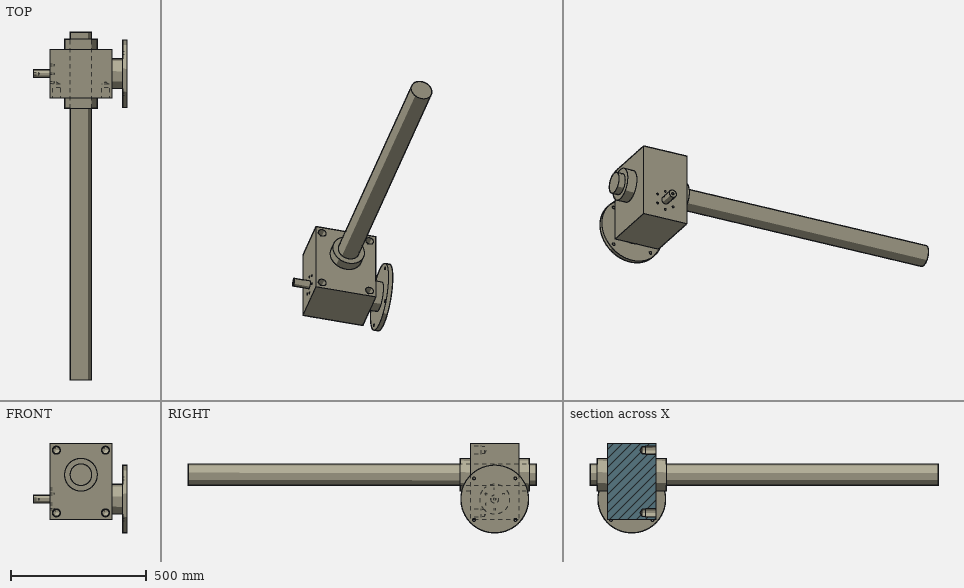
import cadquery as cq
import math


HOUSING_X = 229.0
HOUSING_Y = 179.0
HOUSING_Z = 280.0
HOUSING_TOP = 115.0
HOUSING_CENTER_Z = HOUSING_TOP - HOUSING_Z / 2

COLLAR_DIA = 120.0
COLLARS_SPAN = 255.0

MOUNT_HOLE_DIA = 25.0
MOUNT_HOLE_DEPTH = 51.0
MOUNT_MOUTH_DIA = 30.0
MOUNT_MOUTH_DEPTH = 38.0
MOUNT_HOLE_PITCH_X = 180.0
MOUNT_HOLE_PITCH_Z = 230.0
DRILL_TIP_ANGLE = 118

SCREW_DIA = 80.0
SCREW_LENGTH = 1281.0
SCREW_STUB = 25.0
SCREW_REAR_Y = COLLARS_SPAN / 2 + SCREW_STUB

WORM_AXIS_Z = -90.0
SHAFT_DIA = 30.0
SHAFT_LENGTH = 60.0
CENTER_HOLE_DIA = 8.3
CENTER_HOLE_DEPTH = 19.0

COVER_HOLE_COUNT = 6
COVER_HOLE_DIA = 6.7
COVER_HOLE_DEPTH = 15.0
COVER_CIRCLE_DIA = 74.0

FLANGE_DIA = 250.0
FLANGE_THICKNESS = 17.0
NECK_DIA = 110.0
NECK_LENGTH = 38.0
FLANGE_HOLE_COUNT = 4
FLANGE_HOLE_DIA = 10.1
FLANGE_CIRCLE_DIA = 215.0

ALONG_X = cq.Vector(1, 0, 0)
ALONG_Y = cq.Vector(0, 1, 0)


def cylinder(diameter, length, start, direction):
    """Solid cylinder from the start point along the direction."""
    return cq.Solid.makeCylinder(diameter / 2, length, cq.Vector(*start), direction)


def drilled_hole(diameter, depth, start, direction):
    """Cutting tool for a blind hole that ends in a conical drill tip."""
    tip_height = diameter / 2 / math.tan(math.radians(DRILL_TIP_ANGLE / 2))
    tip_start = cq.Vector(*start) + direction * depth
    tip = cq.Solid.makeCone(diameter / 2, 0, tip_height, tip_start, direction)
    return cylinder(diameter, depth, start, direction).fuse(tip)


def worm_circle_points(circle_dia, count, first_angle):
    """(y, z) points evenly spaced on a circle around the worm axis."""
    angles = [math.radians(first_angle + 360 * i / count) for i in range(count)]
    radius = circle_dia / 2
    return [(radius * math.cos(a), WORM_AXIS_Z + radius * math.sin(a)) for a in angles]


def make_housing():
    body = cq.Workplane("XY").box(HOUSING_X, HOUSING_Y, HOUSING_Z)
    body = body.translate((0, 0, HOUSING_CENTER_Z))

    collars_start = (0, -COLLARS_SPAN / 2, 0)
    body = body.union(cq.Workplane(cylinder(COLLAR_DIA, COLLARS_SPAN, collars_start, ALONG_Y)))
    body = body.cut(cq.Workplane(cylinder(SCREW_DIA, COLLARS_SPAN, collars_start, ALONG_Y)))

    for side_x in (-1, 1):
        for side_z in (-1, 1):
            x = side_x * MOUNT_HOLE_PITCH_X / 2
            z = HOUSING_CENTER_Z + side_z * MOUNT_HOLE_PITCH_Z / 2
            start = (x, -HOUSING_Y / 2, z)
            body = body.cut(cq.Workplane(drilled_hole(MOUNT_HOLE_DIA, MOUNT_HOLE_DEPTH, start, ALONG_Y)))
            body = body.cut(cq.Workplane(cylinder(MOUNT_MOUTH_DIA, MOUNT_MOUTH_DEPTH, start, ALONG_Y)))

    for y, z in worm_circle_points(COVER_CIRCLE_DIA, COVER_HOLE_COUNT, first_angle=90):
        start = (-HOUSING_X / 2, y, z)
        body = body.cut(cq.Workplane(drilled_hole(COVER_HOLE_DIA, COVER_HOLE_DEPTH, start, ALONG_X)))
    return body


def make_screw():
    start = (0, SCREW_REAR_Y - SCREW_LENGTH, 0)
    return cq.Workplane(cylinder(SCREW_DIA, SCREW_LENGTH, start, ALONG_Y))


def make_worm_shaft():
    """Shaft end that stands on the -X face of the housing, with a centre hole in its tip."""
    start = (-HOUSING_X / 2 - SHAFT_LENGTH, 0, WORM_AXIS_Z)
    shaft = cq.Workplane(cylinder(SHAFT_DIA, SHAFT_LENGTH, start, ALONG_X))
    return shaft.cut(cq.Workplane(drilled_hole(CENTER_HOLE_DIA, CENTER_HOLE_DEPTH, start, ALONG_X)))


def make_motor_flange():
    """Neck on the +X face of the housing that carries a round flange with through holes."""
    neck_x = HOUSING_X / 2
    disc_x = neck_x + NECK_LENGTH
    flange = cq.Workplane(cylinder(NECK_DIA, NECK_LENGTH, (neck_x, 0, WORM_AXIS_Z), ALONG_X))
    disc = cylinder(FLANGE_DIA, FLANGE_THICKNESS, (disc_x, 0, WORM_AXIS_Z), ALONG_X)
    flange = flange.union(cq.Workplane(disc))
    for y, z in worm_circle_points(FLANGE_CIRCLE_DIA, FLANGE_HOLE_COUNT, first_angle=45):
        hole = cylinder(FLANGE_HOLE_DIA, FLANGE_THICKNESS, (disc_x, y, z), ALONG_X)
        flange = flange.cut(cq.Workplane(hole))
    return flange


housing = make_housing()
screw = make_screw()
worm_shaft = make_worm_shaft()
motor_flange = make_motor_flange()

result = cq.Compound.makeCompound([
    housing.solids().val(),
    screw.val(),
    worm_shaft.solids().val(),
    motor_flange.solids().val(),
])